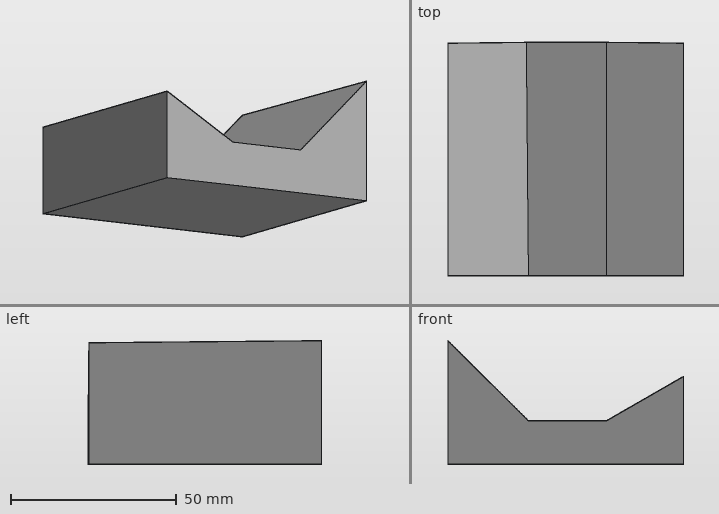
import cadquery as cq

width = 71.15
length = 70.49
left_height = 37.37

right_height = 26.6
floor_height = 13.2
floor_start = 24.32
floor_end = 47.85

left_back_drop = 0.63

back_crown = 0.3


def cross_section(flank_drop):
    """Corner points (x, z) of the channel profile with its left flank lowered by flank_drop."""
    return [
        (0, 0),
        (width, 0),
        (width, right_height),
        (floor_end, floor_height),
        (floor_start - flank_drop, floor_height),
        (0, left_height - flank_drop),
    ]


def channel_block():
    """Loft of the front profile into the slightly lower back profile."""
    return (
        cq.Workplane("XZ")
        .polyline(cross_section(flank_drop=0))
        .close()
        .workplane(offset=-length)
        .polyline(cross_section(left_back_drop))
        .close()
        .loft(ruled=True)
    )


def plan_envelope():
    """Full-height plan shape that trims the back end to its crown."""
    side_length = length - back_crown
    return (
        cq.Workplane("XY")
        .lineTo(width, 0)
        .lineTo(width, side_length)
        .threePointArc((width / 2, length), (0, side_length))
        .close()
        .extrude(left_height)
    )


result = channel_block().intersect(plan_envelope())